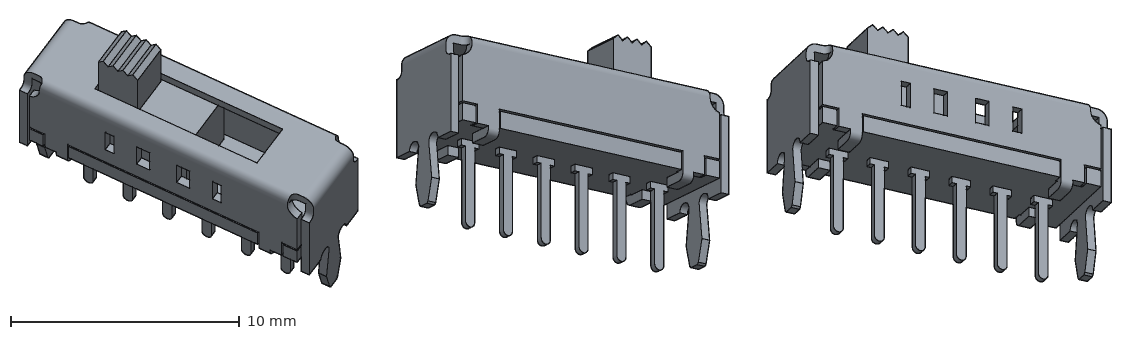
import cadquery as cq
import math


LENGTH = 14.7
WIDTH = 4.4
SHEET = 0.41

COVER_TOP = 4.07
END_BEND_RADIUS = 0.53
SIDE_LENGTH = 13.58
SIDE_BOTTOM = 0.88
FLAP_WIDTH = 4.2
FLAP_BOTTOM = -0.62

RELIEF_HALF_WIDTH = 1.72
RELIEF_FILLET = 0.3
SIDE_RELIEF_RADIUS = 0.65
FLAP_RELIEF_BOTTOM = 3.0

ARCH_RADIUS = 0.35
LEG_WAIST = 0.8
LEG_WIDEST = 1.23
LEG_WIDEST_Z = -2.31
LEG_END_WIDTH = 0.68
LEG_BOTTOM = -3.41
LEG_CHAMFER = 0.09

SLOT_LENGTH = 8.22
SLOT_WIDTH = 2.2
WINDOW_BOTTOM = 1.73
WINDOW_HEIGHT = 1.19
WINDOWS = [(-2.72, 0.44), (-1.01, 0.66), (1.01, 0.66), (2.72, 0.44)]

TAB_INNER_X = 4.85
TAB_WIDTH = 1.15
HOOK_WIDTH = 0.57
HOOK_BOTTOM = -0.44
HOOK_REACH = 0.95
HOOK_BEND_RADIUS = 0.32

BASE_HEIGHT = 0.8
RECESS_INNER_GAP = 0.06
RECESS_OUTER_GAP = 0.09

PIN_COUNT = 6
PIN_PITCH = 2.0
PIN_WIDTH = 0.49
PIN_THICKNESS = 0.31
PIN_LENGTH = 4.01
SHOULDER_WIDTH = 0.91
SHOULDER_HEIGHT = 0.31

CARRIAGE_LEFT = -4.22
CARRIAGE_LENGTH = 5.05
CARRIAGE_WIDTH = 3.23
KNOB_LEFT = -4.0
KNOB_LENGTH = 2.0
KNOB_WIDTH = 2.0
KNOB_TOP = 6.09
TOOTH_COUNT = 4
TOOTH_DEPTH = 0.22

COVER_UNDERSIDE = COVER_TOP - SHEET
SIDE_OUTER_Y = WIDTH / 2
SIDE_INNER_Y = SIDE_OUTER_Y - SHEET
FLAP_INNER_X = LENGTH / 2 - SHEET
RELIEF_INNER_X = FLAP_INNER_X - SIDE_RELIEF_RADIUS


def block(x_range, y_range, z_range):
    """Box between the given limits along each axis."""
    sizes = [high - low for low, high in (x_range, y_range, z_range)]
    corner = (x_range[0], y_range[0], z_range[0])
    return cq.Workplane("XY").box(*sizes, centered=False).translate(corner)


def at_both_ends(shape):
    """The +X shape together with its mirror image at -X."""
    return shape.union(shape.mirror("YZ"))


def at_four_corners(shape):
    """The +X +Y shape repeated by mirroring at all four corners."""
    ends = at_both_ends(shape)
    return ends.union(ends.mirror("XZ"))


def folded_strip(plane, outer_width, run, bottom, outer_radius):
    """Sheet folded down on two opposite sides, with sharp inner corners."""
    inner_width = outer_width - 2 * SHEET
    height = COVER_TOP - bottom
    outer = (
        cq.Workplane(plane)
        .center(0, bottom + height / 2)
        .rect(outer_width, height)
        .extrude(run / 2, both=True)
    )
    hollow_height = height - SHEET
    hollow = (
        cq.Workplane(plane)
        .center(0, bottom + hollow_height / 2)
        .rect(inner_width, hollow_height)
        .extrude(run / 2, both=True)
    )
    fold_edges = "|Y and >Z" if plane == "XZ" else "|X and >Z"
    outer = outer.edges(fold_edges).fillet(outer_radius)
    return outer.cut(hollow)


def corner_relief():
    """Material removed where the top, a side panel and an end flap meet."""
    top_cut = block(
        (RELIEF_INNER_X, LENGTH / 2),
        (RELIEF_HALF_WIDTH, WIDTH / 2),
        (COVER_UNDERSIDE, COVER_TOP),
    )
    top_cut = top_cut.edges("|Z and <X and <Y").fillet(RELIEF_FILLET)
    diagonal = SIDE_RELIEF_RADIUS * math.sqrt(0.5)
    side_cut = (
        cq.Workplane("XZ", origin=(FLAP_INNER_X, SIDE_INNER_Y, COVER_UNDERSIDE))
        .lineTo(-SIDE_RELIEF_RADIUS, 0)
        .threePointArc((-diagonal, -diagonal), (0, -SIDE_RELIEF_RADIUS))
        .close()
        .extrude(-SHEET)
    )
    flap_cut = block(
        (FLAP_INNER_X, LENGTH / 2),
        (RELIEF_HALF_WIDTH, WIDTH / 2),
        (FLAP_RELIEF_BOTTOM, COVER_TOP),
    )
    flap_cut = flap_cut.edges("|X and <Y and <Z").fillet(RELIEF_FILLET)
    return top_cut.union(side_cut).union(flap_cut)


def mounting_leg():
    """Tapered leg of the +X end flap."""
    half_end = LEG_END_WIDTH / 2
    right_side = [
        (LEG_WAIST / 2, FLAP_BOTTOM),
        (LEG_WIDEST / 2, LEG_WIDEST_Z),
        (half_end, LEG_BOTTOM + LEG_CHAMFER),
        (half_end - LEG_CHAMFER, LEG_BOTTOM),
    ]
    left_side = [(-y, z) for y, z in reversed(right_side)]
    return (
        cq.Workplane("YZ", origin=(FLAP_INNER_X, 0, 0))
        .polyline(right_side + left_side)
        .close()
        .extrude(SHEET)
    )


def leg_arches():
    """Round notches in the bottom of the +X end flap, one on each side of its leg."""
    arch_y = LEG_WAIST / 2 + ARCH_RADIUS
    return (
        cq.Workplane("YZ", origin=(FLAP_INNER_X, 0, FLAP_BOTTOM))
        .pushPoints([(-arch_y, 0), (arch_y, 0)])
        .circle(ARCH_RADIUS)
        .extrude(SHEET)
    )


def clamping_tab():
    """Tab of the +Y side panel near the +X end, with a hook folded under the base."""
    tab = block(
        (TAB_INNER_X, TAB_INNER_X + TAB_WIDTH),
        (SIDE_INNER_Y, SIDE_OUTER_Y),
        (0, SIDE_BOTTOM),
    )
    hook_x = (TAB_INNER_X, TAB_INNER_X + HOOK_WIDTH)
    hook = block(hook_x, (HOOK_REACH, SIDE_OUTER_Y), (HOOK_BOTTOM, 0))
    hook = hook.edges("|X and >Y and <Z").fillet(HOOK_BEND_RADIUS)
    return tab.union(hook)


def front_windows():
    """Row of rectangular openings through the front side panel."""
    openings = cq.Workplane("XY")
    for centre_x, width in WINDOWS:
        opening = block(
            (centre_x - width / 2, centre_x + width / 2),
            (-SIDE_OUTER_Y, -SIDE_INNER_Y),
            (WINDOW_BOTTOM, WINDOW_BOTTOM + WINDOW_HEIGHT),
        )
        openings = openings.add(opening)
    return openings.combine()


def make_cover():
    end_strip = folded_strip("XZ", LENGTH, FLAP_WIDTH, FLAP_BOTTOM, END_BEND_RADIUS)
    between_ends = block(
        (-SIDE_LENGTH / 2, SIDE_LENGTH / 2),
        (-FLAP_WIDTH / 2, FLAP_WIDTH / 2),
        (COVER_UNDERSIDE, COVER_TOP),
    )
    side_strip = folded_strip("YZ", WIDTH, SIDE_LENGTH, SIDE_BOTTOM, SHEET)
    slot = block(
        (-SLOT_LENGTH / 2, SLOT_LENGTH / 2),
        (-SLOT_WIDTH / 2, SLOT_WIDTH / 2),
        (COVER_UNDERSIDE, COVER_TOP),
    )
    return (
        end_strip.cut(between_ends)
        .union(side_strip)
        .cut(at_four_corners(corner_relief()))
        .cut(slot)
        .cut(front_windows())
        .cut(at_both_ends(leg_arches()))
        .union(at_both_ends(mounting_leg()))
        .union(at_four_corners(clamping_tab()))
    )


def base_block():
    """Block under the cover, with a recess for each clamping tab."""
    block_shape = cq.Workplane("XY").box(SIDE_LENGTH, WIDTH, BASE_HEIGHT, centered=(True, True, False))
    recess = block(
        (TAB_INNER_X - RECESS_INNER_GAP, TAB_INNER_X + TAB_WIDTH + RECESS_OUTER_GAP),
        (SIDE_INNER_Y, SIDE_OUTER_Y),
        (0, BASE_HEIGHT),
    )
    return block_shape.cut(at_four_corners(recess))


def pin(centre_x):
    """Flat shouldered pin with a fully rounded tip."""
    half_width = PIN_WIDTH / 2
    half_shoulder = SHOULDER_WIDTH / 2
    tip_start = half_width - PIN_LENGTH
    return (
        cq.Workplane("XZ", origin=(centre_x, 0, 0))
        .moveTo(-half_shoulder, 0)
        .lineTo(-half_shoulder, -SHOULDER_HEIGHT)
        .lineTo(-half_width, -SHOULDER_HEIGHT)
        .lineTo(-half_width, tip_start)
        .threePointArc((0, -PIN_LENGTH), (half_width, tip_start))
        .lineTo(half_width, -SHOULDER_HEIGHT)
        .lineTo(half_shoulder, -SHOULDER_HEIGHT)
        .lineTo(half_shoulder, 0)
        .close()
        .extrude(PIN_THICKNESS / 2, both=True)
    )


def slider():
    """Carriage between base and cover, carrying the knob with its toothed grip."""
    carriage = block(
        (CARRIAGE_LEFT, CARRIAGE_LEFT + CARRIAGE_LENGTH),
        (-CARRIAGE_WIDTH / 2, CARRIAGE_WIDTH / 2),
        (BASE_HEIGHT, COVER_UNDERSIDE),
    )
    pitch = KNOB_LENGTH / TOOTH_COUNT
    valley_z = KNOB_TOP - TOOTH_DEPTH
    outline = [(KNOB_LEFT, COVER_UNDERSIDE), (KNOB_LEFT, valley_z)]
    for tooth in range(TOOTH_COUNT):
        tooth_left = KNOB_LEFT + tooth * pitch
        outline.append((tooth_left + pitch / 2, KNOB_TOP))
        outline.append((tooth_left + pitch, valley_z))
    outline.append((KNOB_LEFT + KNOB_LENGTH, COVER_UNDERSIDE))
    knob = cq.Workplane("XZ").polyline(outline).close().extrude(KNOB_WIDTH / 2, both=True)
    return carriage.union(knob)


def make_core():
    core = base_block().union(slider())
    for index in range(PIN_COUNT):
        core = core.union(pin((index - (PIN_COUNT - 1) / 2) * PIN_PITCH))
    return core


cover = make_cover()
core = make_core()
result = cq.Compound.makeCompound([cover.val(), core.val()])